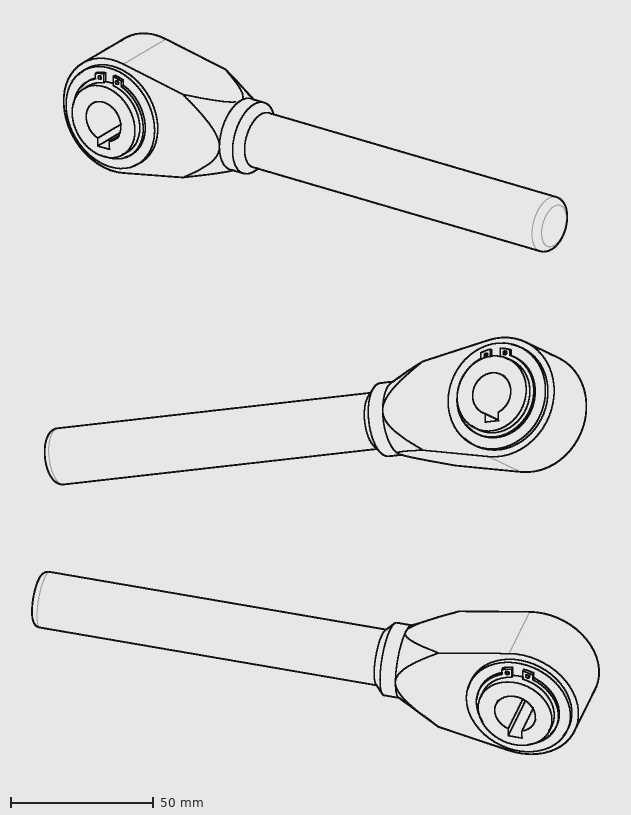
import cadquery as cq
import math

overall_length = 201.5
eye_diameter = 43.0
eye_radius = eye_diameter / 2
head_width = 26.0
collar_radius = head_width / 2
neck_x = 45.5
blend_start_x = 29.8
collar_length = 5.6

rod_diameter = 20.0
rod_end_round = 2.5
rod_end_x = overall_length - eye_radius

bearing_diameter = 38.0
bearing_width = 29.8
hub_diameter = 27.0
hub_width = 38.0
bore_diameter = 15.0
key_width = 5.0
key_depth_from_axis = 10.0

clip_diameter = 30.0
clip_thickness = 1.2
lug_inner_x = 2.0
lug_outer_x = 5.6
lug_tip_radius = 17.0
lug_hole_diameter = 1.35
lug_hole_x = 3.73
lug_hole_z = 15.0


def cylinder_on_hub_axis(diameter, width):
    """Cylinder along Y, centred on the head."""
    return cq.Workplane("XZ").circle(diameter / 2).extrude(width / 2, both=True)


def make_head():
    """Eye with tangent flanks, its corners turned down to the collar by a cone."""
    neck_distance = math.hypot(neck_x, collar_radius)
    tangent_angle = math.atan2(collar_radius, neck_x) + math.acos(eye_radius / neck_distance)
    tangent_x = eye_radius * math.cos(tangent_angle)
    tangent_z = eye_radius * math.sin(tangent_angle)
    plate = (
        cq.Workplane("XZ")
        .moveTo(neck_x, collar_radius)
        .lineTo(tangent_x, tangent_z)
        .threePointArc((-eye_radius, 0), (tangent_x, -tangent_z))
        .lineTo(neck_x, -collar_radius)
        .close()
        .extrude(head_width / 2, both=True)
    )
    flank_slope = (tangent_z - collar_radius) / (neck_x - tangent_x)
    corner_z = collar_radius + flank_slope * (neck_x - blend_start_x)
    corner_radius = math.hypot(corner_z, head_width / 2)
    cone_slope = (corner_radius - collar_radius) / (neck_x - blend_start_x)
    envelope_radius = collar_radius + cone_slope * (neck_x + eye_radius)
    envelope = (
        cq.Workplane("XY")
        .moveTo(-eye_radius, 0)
        .lineTo(-eye_radius, envelope_radius)
        .lineTo(neck_x, collar_radius)
        .lineTo(neck_x, 0)
        .close()
        .revolve(360, (0, 0, 0), (1, 0, 0))
    )
    return plate.intersect(envelope)


def make_rod():
    """Collar and rod, turned about X."""
    rod_radius = rod_diameter / 2
    collar_end_x = neck_x + collar_length
    rod = (
        cq.Workplane("XY")
        .moveTo(neck_x, 0)
        .lineTo(neck_x, collar_radius)
        .lineTo(collar_end_x, collar_radius)
        .lineTo(collar_end_x + collar_radius - rod_radius, rod_radius)
        .lineTo(rod_end_x, rod_radius)
        .lineTo(rod_end_x, 0)
        .close()
        .revolve(360, (0, 0, 0), (1, 0, 0))
    )
    return rod.faces(">X").edges().fillet(rod_end_round)


def make_clip():
    """Retaining ring on the -Y bearing face, open at the top between two drilled lugs."""
    clip = cq.Workplane("XZ").circle(clip_diameter / 2).extrude(clip_thickness)
    gap = (
        cq.Workplane("XZ")
        .center(0, lug_tip_radius / 2)
        .rect(2 * lug_inner_x, lug_tip_radius)
        .extrude(clip_thickness)
    )
    lug_width = lug_outer_x - lug_inner_x
    lug_tips = cq.Workplane("XZ").circle(lug_tip_radius).extrude(clip_thickness)
    for side in (-1, 1):
        lug = (
            cq.Workplane("XZ")
            .center(side * (lug_inner_x + lug_width / 2), lug_tip_radius / 2)
            .rect(lug_width, lug_tip_radius)
            .extrude(clip_thickness)
        )
        clip = clip.union(lug.intersect(lug_tips))
    holes = (
        cq.Workplane("XZ")
        .pushPoints([(-lug_hole_x, lug_hole_z), (lug_hole_x, lug_hole_z)])
        .circle(lug_hole_diameter / 2)
        .extrude(clip_thickness)
    )
    return clip.cut(gap).cut(holes).translate((0, -bearing_width / 2, 0))


def make_bore():
    """Through bore with a keyway at the bottom."""
    keyway = (
        cq.Workplane("XZ")
        .center(0, -key_depth_from_axis / 2)
        .rect(key_width, key_depth_from_axis)
        .extrude(hub_width / 2, both=True)
    )
    return cylinder_on_hub_axis(bore_diameter, hub_width).union(keyway)


front_clip = make_clip()
result = (
    make_head()
    .union(make_rod())
    .union(cylinder_on_hub_axis(bearing_diameter, bearing_width))
    .union(front_clip)
    .union(front_clip.mirror("XZ"))
    .union(cylinder_on_hub_axis(hub_diameter, hub_width))
    .cut(make_bore())
)